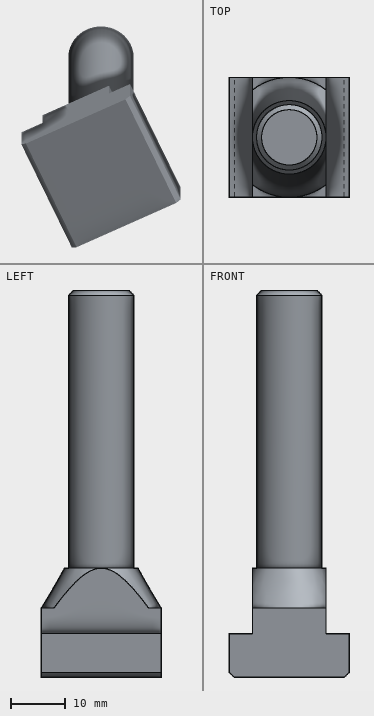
import cadquery as cq

total_height = 71.0
base_side = 22.0
base_height = 8.0
base_chamfer = 0.9
neck_width = 13.5
shoulder_height = 12.7
neck_height = 20.0
shank_diameter = 12.0
tip_chamfer_height = 0.9
tip_chamfer_width = 0.9


def make_base():
    """Square head with its two lower edges along Y chamfered."""
    base = cq.Workplane("XY").box(base_side, base_side, base_height, centered=(True, True, False))
    return base.faces("<Z").edges("|Y").chamfer(base_chamfer)


def make_neck():
    """Slot-guiding neck: a straight block topped by a cone trimmed to the neck width."""
    block = (
        cq.Workplane("XY")
        .box(neck_width, base_side, shoulder_height, centered=(True, True, False))
    )
    cone = cq.Workplane(
        cq.Solid.makeCone(
            base_side / 2,
            neck_width / 2,
            neck_height - shoulder_height,
            cq.Vector(0, 0, shoulder_height),
        )
    )
    trim = cq.Workplane("XY").box(neck_width, base_side, neck_height, centered=(True, True, False))
    return block.union(cone.intersect(trim))


def make_shank():
    """Round shank with a chamfered tip."""
    shank = cq.Workplane("XY").circle(shank_diameter / 2).extrude(total_height)
    return shank.faces(">Z").chamfer(tip_chamfer_height, tip_chamfer_width)


result = make_base().union(make_neck()).union(make_shank())